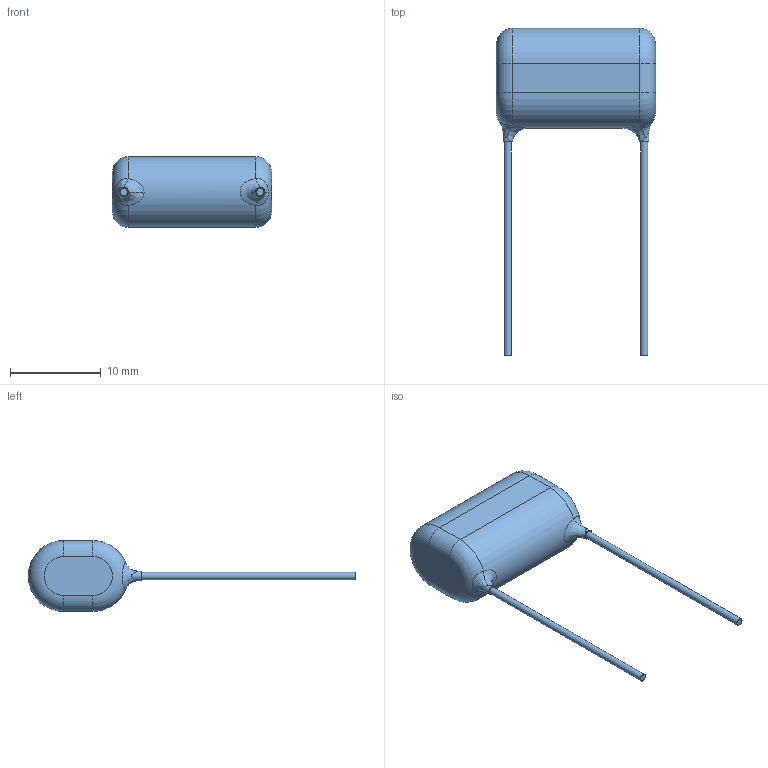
import cadquery as cq

body_length = 17.5
body_depth = 11.0
body_thickness = 7.8
end_round_radius = 1.75

lead_pitch = 15.0
lead_diameter = 0.8
overall_depth = 36.0

neck_diameter = 1.05
neck_length = 1.5
neck_flare_radius = 1.7

body_front_y = -body_depth / 2
neck_end_y = body_front_y - neck_length
untrimmed_neck_end_y = body_front_y - 2 * neck_flare_radius
lead_end_y = body_depth / 2 - overall_depth
lead_positions = (-lead_pitch / 2, lead_pitch / 2)


def rod_along_y(x, start_y, end_y, diameter):
    """Round rod on the mid-plane at x, running from start_y down to end_y."""
    return (
        cq.Workplane("XZ", origin=(x, start_y, 0))
        .circle(diameter / 2)
        .extrude(start_y - end_y)
    )


def make_coating():
    """Rounded stadium body with a flared neck at each lead."""
    coating = (
        cq.Workplane("YZ")
        .slot2D(body_depth, body_thickness)
        .extrude(body_length / 2, both=True)
        .faces("<X or >X")
        .edges()
        .fillet(end_round_radius)
    )
    for x in lead_positions:
        coating = coating.union(rod_along_y(x, 0, untrimmed_neck_end_y, neck_diameter))
    return trim_necks(flare_necks(coating))


def flare_necks(coating):
    """Blend each neck into the body with a concave fillet around its root."""
    for x in lead_positions:
        root_zone = cq.selectors.BoxSelector(
            (x - neck_diameter, body_front_y - neck_diameter, -neck_diameter),
            (x + neck_diameter, 0, neck_diameter),
        )
        coating = coating.edges("%BSPLINE").edges(root_zone).fillet(neck_flare_radius)
    return coating


def trim_necks(coating):
    """Cut the necks off square, just before their flares run out."""
    trim_depth = neck_end_y - untrimmed_neck_end_y
    trim_block = (
        cq.Workplane("XZ", origin=(0, neck_end_y, 0))
        .rect(body_length, body_thickness)
        .extrude(trim_depth)
    )
    return coating.cut(trim_block)


def make_lead(x):
    """Straight wire from the end of its neck to the free tip."""
    return rod_along_y(x, neck_end_y, lead_end_y, lead_diameter)


coating = make_coating()
leads = [make_lead(x) for x in lead_positions]

result = cq.Compound.makeCompound([coating.val(), *[lead.val() for lead in leads]])